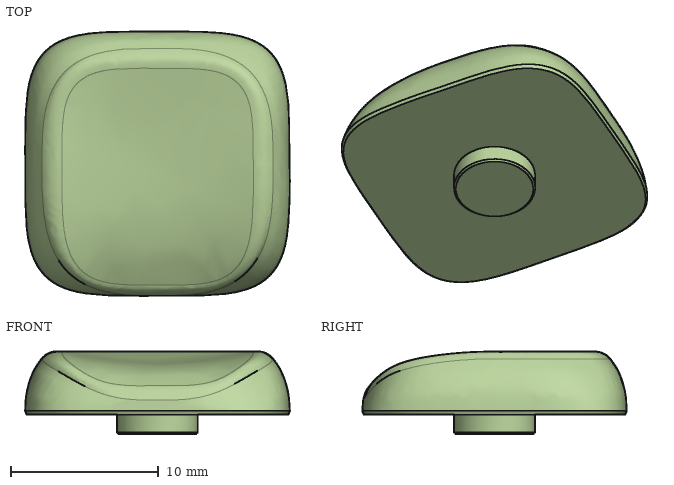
import cadquery as cq
import math

HALF_SIZE = 8.97
EDGE_HEIGHT = 0.27
EDGE_INSET = 0.1
BASE_SQUARENESS = 4.2
RIM_SQUARENESS = 3.1
DISH_SQUARENESS = 4.0

RIM_HALF = 7.83
RIM_FRONT = 8.91
RIM_HEIGHT = 3.81
RIM_DROP = 2.8

DISH_HALF = 6.49
DISH_FRONT = 8.21
DISH_HEIGHT = 4.25
DISH_DROP = 2.28

GENTLE_SHARE = 0.5
STEEP_POWER = 8

WALL_BULGE = 0.35
CROWN_BULGE = 0.1
CROWN_RISE = 0.18

DISH_FLOOR = 3.54
LIP_Y = -7.05
LIP_HEIGHT = 2.52

PEG_DIAMETER = 5.5
PEG_LENGTH = 1.31
PEG_CHAMFER = 0.13

RING_POINTS = 48


def signed_power(value, power):
    return math.copysign(abs(value) ** power, value)


def ring(half, front, height, drop, squareness):
    """Closed superellipse curve, lengthened to `front` on -Y and drooping by `drop` there."""
    points = []
    for i in range(RING_POINTS):
        angle = 2 * math.pi * i / RING_POINTS
        across = signed_power(math.cos(angle), 2 / squareness)
        along = signed_power(math.sin(angle), 2 / squareness)
        forward = max(0.0, -along)
        droop = GENTLE_SHARE * forward**2 + (1 - GENTLE_SHARE) * forward**STEEP_POWER
        reach = front if along < 0 else half
        points.append(cq.Vector(half * across, reach * along, height - drop * droop))
    return cq.Wire.assembleEdges([cq.Edge.makeSpline(points, periodic=True)])


def mean(a, b):
    return (a + b) / 2


def skin(rings):
    """Smooth surface through a stack of rings."""
    return cq.Solid.makeLoft(rings, False).Faces()


def make_cap():
    foot_half = HALF_SIZE - EDGE_INSET
    foot = ring(foot_half, foot_half, 0, 0, BASE_SQUARENESS)
    base = ring(HALF_SIZE, HALF_SIZE, EDGE_HEIGHT, 0, BASE_SQUARENESS)
    wall = ring(
        mean(HALF_SIZE, RIM_HALF) + WALL_BULGE,
        mean(HALF_SIZE, RIM_FRONT),
        mean(EDGE_HEIGHT, RIM_HEIGHT),
        RIM_DROP / 2,
        mean(BASE_SQUARENESS, RIM_SQUARENESS),
    )
    rim = ring(RIM_HALF, RIM_FRONT, RIM_HEIGHT, RIM_DROP, RIM_SQUARENESS)
    crown = ring(
        mean(RIM_HALF, DISH_HALF) + CROWN_BULGE,
        mean(RIM_FRONT, DISH_FRONT) + CROWN_BULGE,
        mean(RIM_HEIGHT, DISH_HEIGHT) + CROWN_RISE,
        mean(RIM_DROP, DISH_DROP),
        mean(RIM_SQUARENESS, DISH_SQUARENESS),
    )
    lip = ring(DISH_HALF, DISH_FRONT, DISH_HEIGHT, DISH_DROP, DISH_SQUARENESS)

    underside = cq.Face.makeFromWires(foot)
    dish_points = [cq.Vector(0, 0, DISH_FLOOR), cq.Vector(0, LIP_Y, LIP_HEIGHT)]
    dish = cq.Face.makeNSidedSurface(lip.Edges(), dish_points)

    faces = [underside, dish]
    for stack in ([foot, base], [base, wall, rim], [rim, crown, lip]):
        faces += [face for face in skin(stack) if face.geomType() != "PLANE"]
    return cq.Solid.makeSolid(cq.Shell.makeShell(faces))


def make_peg():
    peg = cq.Workplane("XY").circle(PEG_DIAMETER / 2).extrude(-PEG_LENGTH)
    return peg.faces("<Z").chamfer(PEG_CHAMFER).val()


cap = make_cap()
peg = make_peg()
result = cq.Compound.makeCompound([cap, peg])